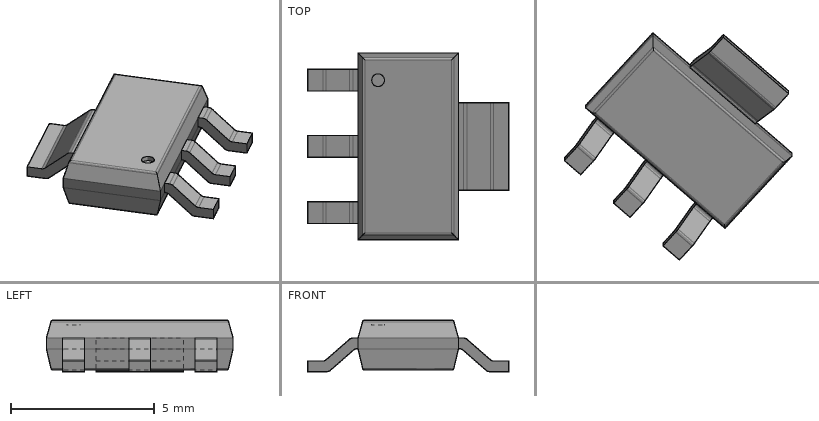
import cadquery as cq
import math

overall_length = 7.0
body_length = 3.5
body_width = 6.5
top_height = 1.8

standoff = 0.055
belt_bottom = 0.8
sheet_thickness = 0.38
belt_top = belt_bottom + sheet_thickness
taper_inset = 0.175
edge_radius = 0.085

mark_diameter = 0.44
mark_depth = 0.17
mark_x = -1.05

pin_width = 0.76
pin_pitch = 2.3
pin_count = 3
tab_width = 3.05
foot_length = 0.595
slope_run = 0.91
bend_radius = 0.18
selection_margin = 0.07


def tapered_half(belt_z, end_z):
    """Frustum from the full belt outline to the smaller outline at end_z."""
    return (
        cq.Workplane("XY", origin=(0, 0, belt_z))
        .rect(body_length, body_width)
        .workplane(offset=end_z - belt_z)
        .rect(body_length - 2 * taper_inset, body_width - 2 * taper_inset)
        .loft(ruled=True)
    )


def make_housing():
    """Moulded body with rounded top and bottom rims and the pin-one recess."""
    belt = (
        cq.Workplane("XY", origin=(0, 0, belt_bottom))
        .rect(body_length, body_width)
        .extrude(sheet_thickness)
    )
    body = belt.union(tapered_half(belt_top, top_height)).union(tapered_half(belt_bottom, standoff))
    body = body.faces(">Z or <Z").edges().fillet(edge_radius)

    mark_y = pin_pitch * (pin_count - 1) / 2
    mark = (
        cq.Workplane("XY", origin=(mark_x, mark_y, top_height - mark_depth))
        .circle(mark_diameter / 2)
        .extrude(mark_depth)
    )
    return body.cut(mark)


def make_lead(width, center_y):
    """Bent strip running from its foot at -X up to the -X face of the body."""
    foot_end_x = -overall_length / 2
    body_face_x = -body_length / 2
    foot_bend_x = foot_end_x + foot_length
    shoulder_bend_x = foot_bend_x + slope_run

    slope_angle = math.atan2(belt_bottom, slope_run)
    lower_shift = sheet_thickness * math.tan(slope_angle / 2)

    outline = [
        (foot_end_x, 0),
        (foot_bend_x + lower_shift, 0),
        (shoulder_bend_x + lower_shift, belt_bottom),
        (body_face_x, belt_bottom),
        (body_face_x, belt_top),
        (shoulder_bend_x, belt_top),
        (foot_bend_x, sheet_thickness),
        (foot_end_x, sheet_thickness),
    ]
    strip = (
        cq.Workplane("XZ", origin=(0, center_y + width / 2, 0))
        .polyline(outline)
        .close()
        .extrude(width)
    )
    bends = cq.selectors.BoxSelector(
        (foot_end_x + selection_margin, center_y - selection_margin, -selection_margin),
        (body_face_x - selection_margin, center_y + selection_margin, belt_top + selection_margin),
    )
    return strip.edges("|Y").edges(bends).fillet(bend_radius)


housing = make_housing()

pins = []
for index in range(pin_count):
    pin_y = (index - (pin_count - 1) / 2) * pin_pitch
    pins.append(make_lead(pin_width, pin_y))

tab = make_lead(tab_width, 0).rotate((0, 0, 0), (0, 0, 1), 180)

result = cq.Compound.makeCompound([housing.val(), *[pin.val() for pin in pins], tab.val()])